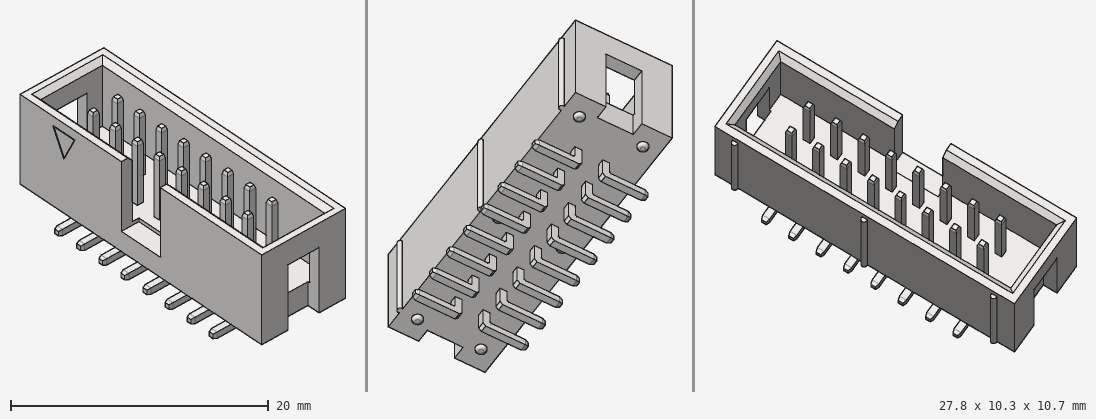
import cadquery as cq


housing_length = 27.82
housing_width = 8.82
housing_height = 8.8
floor_top = 2.35
end_wall = 1.1
side_wall = 1.17
mouth_chamfer = 0.5

notch_width = 4.48
notch_depth = 1.85
notch_bottom = 1.98

slot_width = 3.25
slot_depth = 1.28
slot_top = 6.4

mark_width = 2.48
mark_height = 2.5
mark_top = 7.82
mark_depth = 0.08

locator_spacing = 12.02
locator_places = [-locator_spacing, 0.0, locator_spacing]
rib_width = 0.5
rib_height = 0.33
rib_top = 8.2
dome_radius = 0.47
dome_height = 0.33
dome_rounding = 0.28
dome_y = 2.9

columns = 8
column_span = 17.78
pitch = column_span / (columns - 1)
pin_size = 0.65
tip_size = 0.45
tip_length = 0.33
pin_top = 8.45
lead_bottom = -1.85
lead_reach = 5.15
outer_bend = 0.25
inner_bend = 0.15

column_places = [i * pitch - column_span / 2 for i in range(columns)]
row_y = pitch / 2


def box_from(length, width, bottom, top, x=0.0, y=0.0):
    """Box centred at (x, y) that spans bottom to top in Z."""
    return cq.Workplane("XY", origin=(x, y, bottom)).rect(length, width).extrude(top - bottom)


def tapered_tip(base, direction):
    """Square tip that narrows from the full pin section at base along direction."""
    plane = cq.Plane(origin=base, xDir=(1, 0, 0), normal=direction)
    return (
        cq.Workplane(plane)
        .rect(pin_size, pin_size)
        .workplane(offset=tip_length)
        .rect(tip_size, tip_size)
        .loft(ruled=True)
    )


def make_housing():
    """Open-topped box with a bevelled mouth, key notch, end slots and pin-one mark."""
    cavity_length = housing_length - 2 * end_wall
    cavity_width = housing_width - 2 * side_wall
    body = box_from(housing_length, housing_width, 0, housing_height)
    body = body.cut(box_from(cavity_length, cavity_width, floor_top, housing_height))

    mouth = (
        cq.Workplane("XY", origin=(0, 0, housing_height - mouth_chamfer))
        .rect(cavity_length, cavity_width)
        .workplane(offset=mouth_chamfer)
        .rect(cavity_length + 2 * mouth_chamfer, cavity_width + 2 * mouth_chamfer)
        .loft(ruled=True)
    )
    body = body.cut(mouth)

    notch_y = (notch_depth - housing_width) / 2
    body = body.cut(box_from(notch_width, notch_depth, notch_bottom, housing_height, y=notch_y))

    slot_x = (housing_length - slot_depth) / 2
    for side in (-1, 1):
        body = body.cut(box_from(slot_depth, slot_width, 0, slot_top, x=side * slot_x))

    mark_x = column_places[0]
    mark = (
        cq.Workplane("XZ", origin=(0, -housing_width / 2, 0))
        .moveTo(mark_x - mark_width / 2, mark_top)
        .lineTo(mark_x + mark_width / 2, mark_top)
        .lineTo(mark_x, mark_top - mark_height)
        .close()
        .extrude(-mark_depth)
    )
    return body.cut(mark)


def make_rib(x):
    """Upright rib on the +Y face: short straight sides capped by a half round."""
    wall_y = housing_width / 2
    round_y = wall_y + rib_height - rib_width / 2
    return (
        cq.Workplane("XY")
        .moveTo(x - rib_width / 2, wall_y)
        .lineTo(x - rib_width / 2, round_y)
        .threePointArc((x, wall_y + rib_height), (x + rib_width / 2, round_y))
        .lineTo(x + rib_width / 2, wall_y)
        .close()
        .extrude(rib_top)
    )


def make_dome(x, y):
    """Round standoff below the underside with a generously rounded rim."""
    disc = cq.Workplane("XY", origin=(x, y, 0)).circle(dome_radius).extrude(-dome_height)
    return disc.faces("<Z").edges().fillet(dome_rounding)


def make_pin():
    """Pin of the +Y row at X = 0: upright post bent outward into a foot, both ends tapered."""
    inner_y = row_y - pin_size / 2
    outer_y = row_y + pin_size / 2
    foot_end = lead_reach - tip_length
    foot_top = lead_bottom + pin_size
    post_top = pin_top - tip_length
    pin = (
        cq.Workplane("YZ", origin=(-pin_size / 2, 0, 0))
        .moveTo(inner_y, post_top)
        .lineTo(inner_y, lead_bottom + outer_bend)
        .lineTo(inner_y + outer_bend, lead_bottom)
        .lineTo(foot_end, lead_bottom)
        .lineTo(foot_end, foot_top)
        .lineTo(outer_y + inner_bend, foot_top)
        .lineTo(outer_y, foot_top + inner_bend)
        .lineTo(outer_y, post_top)
        .close()
        .extrude(pin_size)
    )
    post_tip = tapered_tip((0, row_y, post_top), (0, 0, 1))
    foot_tip = tapered_tip((0, foot_end, lead_bottom + pin_size / 2), (0, 1, 0))
    return pin.union(post_tip).union(foot_tip)


result = make_housing()

for x in locator_places:
    result = result.union(make_rib(x))
    for y in (-dome_y, dome_y):
        result = result.union(make_dome(x, y))

back_pin = make_pin()
front_pin = back_pin.mirror("XZ")
for x in column_places:
    for pin in (back_pin, front_pin):
        result = result.union(pin.translate((x, 0, 0)))